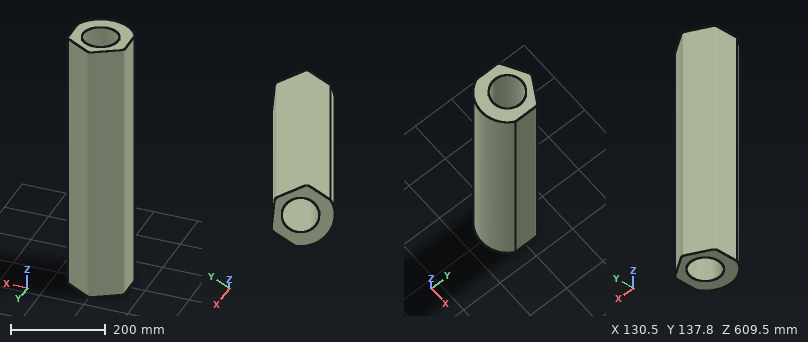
import cadquery as cq
import math

length = 609.5
side_width = 130.5
outer_radius = 72.5
bore_radius = 39.5
roof_distance = 58.0
roof_angle = math.radians(30)
corner_radius = 11.0

half_width = side_width / 2
ridge_y = roof_distance / math.cos(roof_angle)
shoulder_y = ridge_y - half_width * math.tan(roof_angle)
round_start_y = -math.sqrt(outer_radius**2 - half_width**2)

body = (
    cq.Workplane("XY")
    .moveTo(-half_width, round_start_y)
    .lineTo(-half_width, shoulder_y)
    .lineTo(0, ridge_y)
    .lineTo(half_width, shoulder_y)
    .lineTo(half_width, round_start_y)
    .threePointArc((0, -outer_radius), (-half_width, round_start_y))
    .close()
    .extrude(length)
)

roof_edges = cq.selectors.BoxSelector(
    (-side_width, 0, 0),
    (side_width, side_width, length),
)
body = body.edges("|Z").edges(roof_edges).fillet(corner_radius)

bore = cq.Workplane("XY").circle(bore_radius).extrude(length)
result = body.cut(bore)